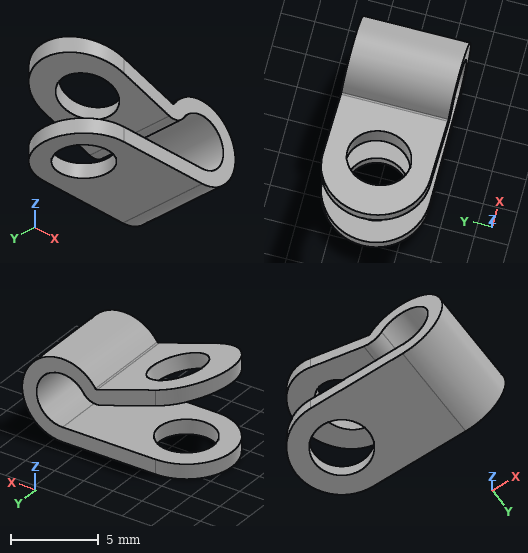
import cadquery as cq
import math

length = 12.3
width = 6.3
height = 6.6
thickness = 1.0
loop_radius = 2.75
flap_angle = 18.0
hole_diameter = 3.7
flap_hole_x = 3.74
crease_radius = 0.1
cut_margin = 1.23

inner_radius = loop_radius - thickness
end_radius = width / 2
loop_x = length - loop_radius
loop_z = loop_radius
slope = math.radians(flap_angle)


def flap_top(x):
    """Height of the flap's top face at x."""
    return height - x * math.tan(slope)


def bend_point(radius, angle):
    """Point on a circle about the bend centre, angle in radians."""
    return bend_x + radius * math.cos(angle), bend_z + radius * math.sin(angle)


bend_radius = crease_radius + thickness
loop_rise = (loop_z - flap_top(loop_x)) * math.cos(slope)
centre_rise = crease_radius - loop_rise
centre_run = math.sqrt((loop_radius + crease_radius) ** 2 - centre_rise**2)
bend_x = loop_x - centre_run * math.cos(slope) + centre_rise * math.sin(slope)
bend_z = loop_z + centre_run * math.sin(slope) + centre_rise * math.cos(slope)

flap_side_angle = -math.pi / 2 - slope
loop_side_angle = math.atan2(loop_z - bend_z, loop_x - bend_x)
middle_angle = (flap_side_angle + loop_side_angle) / 2


def make_strip():
    """Bent strip profile extruded across the width."""
    return (
        cq.Workplane("XZ")
        .moveTo(0, 0)
        .lineTo(loop_x, 0)
        .threePointArc((length, loop_z), bend_point(crease_radius, loop_side_angle))
        .threePointArc(
            bend_point(crease_radius, middle_angle),
            bend_point(crease_radius, flap_side_angle),
        )
        .lineTo(0, height)
        .lineTo(0, height - thickness / math.cos(slope))
        .lineTo(*bend_point(bend_radius, flap_side_angle))
        .threePointArc(
            bend_point(bend_radius, middle_angle),
            bend_point(bend_radius, loop_side_angle),
        )
        .threePointArc((loop_x + inner_radius, loop_z), (loop_x, thickness))
        .lineTo(0, thickness)
        .close()
        .extrude(width / 2, both=True)
    )


def make_rounded_outline():
    """Plan outline with a full round at the open end."""
    return (
        cq.Workplane("XY")
        .moveTo(end_radius, -width / 2)
        .lineTo(length, -width / 2)
        .lineTo(length, width / 2)
        .lineTo(end_radius, width / 2)
        .threePointArc((0, 0), (end_radius, -width / 2))
        .close()
        .extrude(height)
    )


def make_hole_cutter(origin, direction):
    """Cylinder through one leg, centred on the given origin."""
    reach = thickness + cut_margin
    plane = cq.Plane(origin=origin, xDir=(0, 1, 0), normal=direction)
    return cq.Workplane(plane).circle(hole_diameter / 2).extrude(reach, both=True)


base_hole = make_hole_cutter((end_radius, 0, 0), (0, 0, 1))
flap_hole = make_hole_cutter(
    (flap_hole_x, 0, flap_top(flap_hole_x)),
    (math.sin(slope), 0, math.cos(slope)),
)

result = make_strip().intersect(make_rounded_outline()).cut(base_hole).cut(flap_hole)